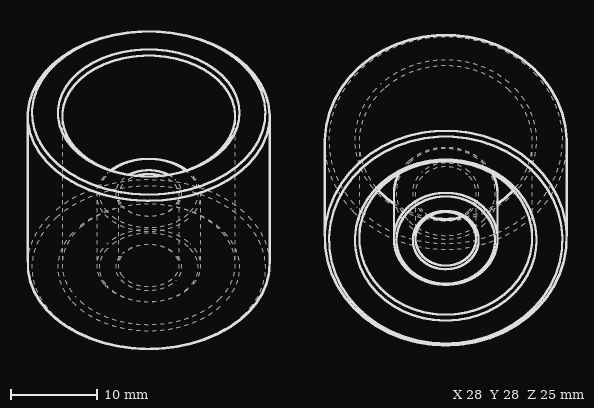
import cadquery as cq

SLEEVE_OUTER_DIAMETER = 28.0
SLEEVE_BORE_DIAMETER = 20.0
SLEEVE_HEIGHT = 25.0
SLEEVE_CHAMFER = 0.5

BUSH_OUTER_DIAMETER = 12.0
BUSH_BORE_DIAMETER = 7.0
BUSH_HEIGHT = 12.0
BUSH_CHAMFER = 0.3


def chamfered_ring(outer_diameter, bore_diameter, height, chamfer):
    """Ring standing on the XY plane, with all four circular rims chamfered."""
    ring = (
        cq.Workplane("XY")
        .circle(outer_diameter / 2)
        .circle(bore_diameter / 2)
        .extrude(height)
    )
    return ring.faces("<Z or >Z").edges().chamfer(chamfer)


sleeve = chamfered_ring(
    SLEEVE_OUTER_DIAMETER, SLEEVE_BORE_DIAMETER, SLEEVE_HEIGHT, SLEEVE_CHAMFER
)
bush = chamfered_ring(
    BUSH_OUTER_DIAMETER, BUSH_BORE_DIAMETER, BUSH_HEIGHT, BUSH_CHAMFER
)

result = cq.Compound.makeCompound([sleeve.val(), bush.val()])